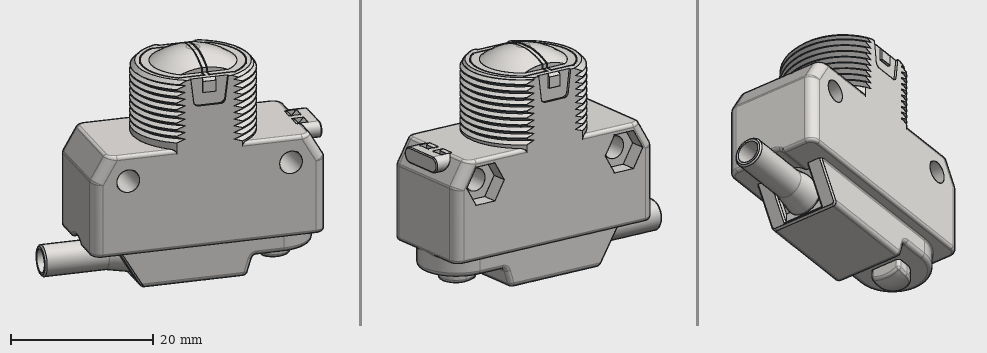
import cadquery as cq
import math


WIDTH = 15.0
HALF_WIDTH = WIDTH / 2
HALF_LENGTH = 17.25
HOUSING_TOP = 14.95
SHOULDER_Z = 11.27
SHOULDER_HALF_LENGTH = 15.07
END_FILLET = 1.5
TOP_FILLET = 0.55
SHOULDER_FILLET = 0.6
FLOOR_FILLET = 0.5

HOLE_Y = 12.05
HOLE_Z = 11.1
HOLE_DIAMETER = 3.35
NUT_FLATS = 5.65
NUT_DEPTH = 2.42

NECK_RADIUS = 8.95
NECK_TOP = 25.2
NECK_CHAMFER = 0.73
THREAD_DEPTH = 0.6
THREAD_WIDTH = 0.85
THREAD_START = 15.5
THREAD_LENGTH = 9.5
THREAD_TURNS = 9.5
THREAD_PITCH = THREAD_LENGTH / THREAD_TURNS

NOTCH_DEPTH = 0.35
NOTCH_TOP_WIDTH = 5.55
NOTCH_BOTTOM_WIDTH = 4.53
NOTCH_FLOOR = 21.17
NOTCH_FILLET = 0.75
CATCH_WIDTH = 1.9
CATCH_BOTTOM = 23.1
CATCH_TOP = 24.77

DOME_RADIUS = 6.2
DOME_HALF_WIDTH = 5.1
DOME_TOP = 27.28
DOME_CAP_RADIUS = 0.95
BUTTON_RADIUS = 7.55
BUTTON_HALF_WIDTH = 6.25
BUTTON_SPLIT = 0.45
GAP = 0.14
GAP_DEPTH = 0.6
BAR_DROP = 0.1

COVER_HALF_WIDTH = 5.58
COVER_BACK = 17.2
COVER_STEP_Z = -3.0
COVER_BOTTOM = -6.0
COVER_FILLET = 0.65
STEP_TOP_Y = 7.1
STEP_BOTTOM_Y = 6.2
STEP_FILLET = 0.73
SEAM_FILLET = 0.2
RAMP_BOTTOM_Y = -9.25
RAMP_TOP_Y = -12.9
RAMP_SLOPE = (RAMP_TOP_Y - RAMP_BOTTOM_Y) / -COVER_BOTTOM
CHANNEL_HALF_WIDTH = 3.1
CHANNEL_FLOOR_Z = -5.45
CHANNEL_BEND_Z = -4.0
CHANNEL_BACK_Y = -9.2
RAMP_EDGE_CHAMFER = 0.25

CABLE_DIAMETER = 4.55
CABLE_RADIUS = CABLE_DIAMETER / 2
CABLE_Z = -CABLE_RADIUS
CABLE_END_Y = -22.55
CABLE_CHAMFER = 0.25
CABLE_BORE_RADIUS = 1.7
SLEEVE_RADIUS = 3.0
SLEEVE_FRONT_Y = -13.15
SLEEVE_BACK_Y = -9.5
RELIEF_RADIUS = 3.1
RELIEF_FILLET = 0.5

PIN_Y = 11.75
PIN_RADIUS = 2.45
PIN_FRONT_Y = 9.85
PIN_TIP = -5.37
PIN_CROWN = 0.65
PIN_FILLET = 0.5

LATCH_HALF_WIDTH = 3.85
LATCH_FRONT_Y = 13.45
LATCH_BACK_Y = 17.85
LATCH_HEIGHT = 2.35
WINDOW_INNER_X = 0.55
WINDOW_OUTER_X = 2.63
WINDOW_FRONT_Y = 14.4
WINDOW_LOW_Y = 14.9
WINDOW_BACK_Y = 16.15
WINDOW_DEPTH = 1.4
WINDOW_LEAD_IN = 0.2
LATCH_CHAMFER = 0.15


def block(x0, x1, y0, y1, z0, z1):
    """Box between two corners."""
    return cq.Workplane("XY").box(x1 - x0, y1 - y0, z1 - z0, centered=False).translate((x0, y0, z0))


def edges_inside(half_width, y0, y1, z0, z1):
    """Selector for edges whose centre lies in a box, both sides of X = 0, with a small margin."""
    margin = 0.2
    return cq.selectors.BoxSelector(
        (-half_width - margin, y0 - margin, z0 - margin), (half_width + margin, y1 + margin, z1 + margin)
    )


def side_plate(points, half_width):
    """Outline of (Y, Z) points, extruded evenly to both sides of X = 0."""
    return cq.Workplane("YZ").polyline(points).close().extrude(half_width, both=True)


def along_y(radius, y_start, y_end, z):
    """Cylinder parallel to Y."""
    return cq.Workplane("XZ", origin=(0, y_start, z)).circle(radius).extrude(y_start - y_end)


def make_housing():
    outline = [
        (-HALF_LENGTH, 0),
        (HALF_LENGTH, 0),
        (HALF_LENGTH, SHOULDER_Z),
        (SHOULDER_HALF_LENGTH, HOUSING_TOP),
        (-SHOULDER_HALF_LENGTH, HOUSING_TOP),
        (-HALF_LENGTH, SHOULDER_Z),
    ]
    housing = side_plate(outline, HALF_WIDTH)
    shoulder = edges_inside(HALF_WIDTH, -HALF_LENGTH, HALF_LENGTH, SHOULDER_Z, SHOULDER_Z)
    housing = housing.edges("|X").edges(shoulder).fillet(SHOULDER_FILLET)
    housing = housing.faces("<X or >X").edges("not |Y").fillet(END_FILLET)
    housing = housing.faces(">Z").edges().fillet(TOP_FILLET)
    return housing.faces("<Z").edges().fillet(FLOOR_FILLET)


def make_thread_groove():
    """Right-handed V groove that cuts from outside the neck down to the thread root."""
    root = NECK_RADIUS - THREAD_DEPTH
    clearance = 0.12
    half_mouth = THREAD_WIDTH / 2 * (THREAD_DEPTH + clearance) / THREAD_DEPTH
    mouth = NECK_RADIUS + clearance
    helix = cq.Wire.makeHelix(THREAD_PITCH, THREAD_LENGTH, root)
    profile = cq.Workplane("XZ").polyline([(root, 0), (mouth, half_mouth), (mouth, -half_mouth)]).close()
    groove = profile.sweep(cq.Workplane(obj=helix), isFrenet=True)
    return groove.translate((0, 0, THREAD_START))


def make_neck():
    neck = cq.Workplane("XY").circle(NECK_RADIUS).extrude(NECK_TOP)
    neck = neck.faces(">Z").chamfer(NECK_CHAMFER)
    neck = neck.cut(make_thread_groove())
    return neck.intersect(block(-HALF_WIDTH, HALF_WIDTH, -NECK_RADIUS, NECK_RADIUS, HOUSING_TOP / 2, NECK_TOP))


def make_notch():
    """Tapered notch in the +X flat of the neck, with a sloped catch left standing in it."""
    floor_x = HALF_WIDTH - NOTCH_DEPTH
    notch = (
        cq.Workplane("YZ", origin=(floor_x, 0, 0))
        .polyline([
            (-NOTCH_BOTTOM_WIDTH / 2, NOTCH_FLOOR),
            (NOTCH_BOTTOM_WIDTH / 2, NOTCH_FLOOR),
            (NOTCH_TOP_WIDTH / 2, NECK_TOP),
            (-NOTCH_TOP_WIDTH / 2, NECK_TOP),
        ])
        .close()
        .extrude(NOTCH_DEPTH)
    )
    notch = notch.faces("<Z").edges("|X").fillet(NOTCH_FILLET)
    catch = (
        cq.Workplane("XZ")
        .polyline([
            (floor_x, CATCH_BOTTOM),
            (HALF_WIDTH, CATCH_BOTTOM),
            (HALF_WIDTH, CATCH_TOP),
            (floor_x, NECK_TOP),
        ])
        .close()
        .extrude(CATCH_WIDTH / 2, both=True)
    )
    return notch.cut(catch)


def make_dome(top):
    """Dome with a small flat cap, trimmed flat at both X sides."""
    sphere_radius = (DOME_RADIUS**2 + (top - NECK_TOP) ** 2) / (2 * (top - NECK_TOP))
    sphere_z = top - sphere_radius
    middle = DOME_RADIUS / 2
    middle_z = sphere_z + math.sqrt(sphere_radius**2 - middle**2)
    cap_z = sphere_z + math.sqrt(sphere_radius**2 - DOME_CAP_RADIUS**2)
    root_z = NECK_TOP - GAP_DEPTH
    dome = (
        cq.Workplane("XZ")
        .moveTo(0, root_z)
        .lineTo(DOME_RADIUS, root_z)
        .lineTo(DOME_RADIUS, NECK_TOP)
        .threePointArc((middle, middle_z), (DOME_CAP_RADIUS, cap_z))
        .lineTo(0, cap_z)
        .close()
        .revolve()
    )
    return dome.intersect(
        block(-DOME_HALF_WIDTH, DOME_HALF_WIDTH, -DOME_RADIUS, DOME_RADIUS, root_z, top)
    )


def button_plan(inset):
    """Both button halves, each one pulled in by the inset, tall enough to pass through the dome."""
    bottom = NECK_TOP - GAP_DEPTH
    plan = cq.Workplane("XY", origin=(0, 0, bottom)).circle(BUTTON_RADIUS - inset).extrude(DOME_TOP - bottom)
    half_width = BUTTON_HALF_WIDTH - inset
    plan = plan.intersect(
        block(-half_width, half_width, -BUTTON_RADIUS, BUTTON_RADIUS, bottom, DOME_TOP)
    )
    split = BUTTON_SPLIT - GAP + inset
    return plan.cut(block(-BUTTON_RADIUS, BUTTON_RADIUS, -split, split, bottom, DOME_TOP))


def add_button(body):
    bar_half = BUTTON_SPLIT - GAP
    slot = block(-DOME_RADIUS, DOME_RADIUS, -BUTTON_SPLIT, BUTTON_SPLIT, NECK_TOP, DOME_TOP)
    bar = make_dome(DOME_TOP - BAR_DROP).intersect(
        block(-DOME_RADIUS, DOME_RADIUS, -bar_half, bar_half, NECK_TOP - GAP_DEPTH, DOME_TOP)
    )
    body = body.union(make_dome(DOME_TOP).cut(slot)).union(bar)
    return body.cut(button_plan(0).cut(button_plan(GAP)))


def make_cover():
    ramp_end_y = RAMP_TOP_Y + RAMP_SLOPE * FLOOR_FILLET
    outline = [
        (COVER_BACK, FLOOR_FILLET),
        (COVER_BACK, COVER_STEP_Z),
        (STEP_TOP_Y, COVER_STEP_Z),
        (STEP_BOTTOM_Y, COVER_BOTTOM),
        (RAMP_BOTTOM_Y, COVER_BOTTOM),
        (ramp_end_y, FLOOR_FILLET),
    ]
    cover = side_plate(outline, COVER_HALF_WIDTH)
    step = edges_inside(COVER_HALF_WIDTH, STEP_BOTTOM_Y, STEP_TOP_Y, COVER_BOTTOM, COVER_STEP_Z)
    cover = cover.edges("|X").edges(step).fillet(STEP_FILLET)
    round_y = COVER_BACK - COVER_HALF_WIDTH
    plan = (
        cq.Workplane("XY", origin=(0, 0, COVER_BOTTOM))
        .moveTo(-COVER_HALF_WIDTH, ramp_end_y)
        .lineTo(COVER_HALF_WIDTH, ramp_end_y)
        .lineTo(COVER_HALF_WIDTH, round_y)
        .threePointArc((0, COVER_BACK), (-COVER_HALF_WIDTH, round_y))
        .close()
        .extrude(FLOOR_FILLET - COVER_BOTTOM)
    )
    cover = cover.intersect(plan)
    underside = edges_inside(COVER_HALF_WIDTH, STEP_BOTTOM_Y, COVER_BACK, COVER_BOTTOM, COVER_STEP_Z)
    bottom = edges_inside(COVER_HALF_WIDTH, RAMP_BOTTOM_Y, STEP_BOTTOM_Y, COVER_BOTTOM, COVER_BOTTOM)
    cover = cover.edges("not |X").edges("not |Z").edges(underside + bottom).fillet(COVER_FILLET)
    cover = cover.cut(make_channel_space(CHANNEL_HALF_WIDTH))
    facing_out = cq.selectors.DirectionMinMaxSelector(cq.Vector(0, -1, RAMP_SLOPE), True)
    ramp_normal = cq.selectors.ParallelDirSelector(cq.Vector(0, -1, RAMP_SLOPE))
    ramp = cover.faces(ramp_normal).faces(facing_out)
    return ramp.edges("not >Z").chamfer(RAMP_EDGE_CHAMFER)


def make_channel_space(half_width):
    """Space in front of the channel back wall, which stands upright and then leans with the ramp."""
    top = HOUSING_TOP / 2
    outline = [
        (-HALF_LENGTH, CHANNEL_FLOOR_Z),
        (CHANNEL_BACK_Y, CHANNEL_FLOOR_Z),
        (CHANNEL_BACK_Y, CHANNEL_BEND_Z),
        (CHANNEL_BACK_Y + RAMP_SLOPE * (top - CHANNEL_BEND_Z), top),
        (-HALF_LENGTH, top),
    ]
    return side_plate(outline, half_width)


def make_relief():
    """Rounded clearance in the housing floor above the cable."""
    relief = along_y(RELIEF_RADIUS, RAMP_BOTTOM_Y, -HALF_LENGTH, CABLE_Z)
    return relief.intersect(make_channel_space(HALF_WIDTH))


def make_cable():
    cable = (
        cq.Workplane("YZ", origin=(0, 0, CABLE_Z))
        .polyline([
            (RAMP_BOTTOM_Y, 0),
            (RAMP_BOTTOM_Y, SLEEVE_RADIUS),
            (SLEEVE_BACK_Y, SLEEVE_RADIUS),
            (SLEEVE_FRONT_Y, CABLE_RADIUS),
            (CABLE_END_Y + CABLE_CHAMFER, CABLE_RADIUS),
            (CABLE_END_Y, CABLE_RADIUS - CABLE_CHAMFER),
            (CABLE_END_Y, 0),
        ])
        .close()
        .revolve(360, (0, 0, 0), (1, 0, 0))
    )
    bore = along_y(CABLE_BORE_RADIUS, CHANNEL_BACK_Y, CABLE_END_Y, CABLE_Z)
    return cable.cut(bore)


def make_pin():
    pin = (
        cq.Workplane("XY", origin=(0, 0, PIN_TIP))
        .moveTo(-PIN_RADIUS, PIN_Y)
        .threePointArc((0, PIN_Y + PIN_RADIUS), (PIN_RADIUS, PIN_Y))
        .lineTo(PIN_RADIUS, PIN_FRONT_Y)
        .lineTo(-PIN_RADIUS, PIN_FRONT_Y)
        .close()
        .extrude(-PIN_TIP)
    )
    pin = pin.edges("|Z and <Y").fillet(PIN_FILLET)
    crown_radius = (PIN_RADIUS**2 + PIN_CROWN**2) / (2 * PIN_CROWN)
    crown = cq.Workplane("XY").sphere(crown_radius).translate((0, PIN_Y, PIN_TIP + crown_radius))
    return pin.intersect(crown).faces("<Z").edges().fillet(PIN_FILLET)


def make_latch():
    """Rounded bar flush with the housing top that reaches past its back end."""
    length = LATCH_BACK_Y - LATCH_FRONT_Y
    middle_z = HOUSING_TOP - LATCH_HEIGHT / 2
    return (
        cq.Workplane("XZ", origin=(0, LATCH_BACK_Y, middle_z))
        .slot2D(2 * LATCH_HALF_WIDTH, LATCH_HEIGHT)
        .extrude(length)
        .faces(">Y")
        .chamfer(LATCH_CHAMFER)
    )


def make_window():
    """Wedge shaped window in the latch, on the +X side."""
    return (
        cq.Workplane("YZ", origin=(WINDOW_INNER_X, 0, 0))
        .polyline([
            (WINDOW_BACK_Y, HOUSING_TOP),
            (WINDOW_LOW_Y, HOUSING_TOP - WINDOW_DEPTH),
            (WINDOW_LOW_Y, HOUSING_TOP - WINDOW_LEAD_IN),
            (WINDOW_FRONT_Y, HOUSING_TOP),
        ])
        .close()
        .extrude(WINDOW_OUTER_X - WINDOW_INNER_X)
    )


def make_mounting_hole(y):
    """Through hole with a hexagonal nut pocket on the -X side."""
    nut_corners = NUT_FLATS / math.cos(math.pi / 6)
    start = cq.Workplane("YZ", origin=(-HALF_WIDTH, y, HOLE_Z))
    hole = start.circle(HOLE_DIAMETER / 2).extrude(WIDTH)
    return hole.union(start.polygon(6, nut_corners).extrude(NUT_DEPTH))


def fillet_cover_seam(body):
    """Small inside fillet along the straight sides where the cover meets the housing floor."""
    seam = edges_inside(COVER_HALF_WIDTH, -SLEEVE_RADIUS, SLEEVE_RADIUS, 0, 0)
    return body.edges(seam).fillet(SEAM_FILLET)


body = make_housing().cut(make_relief())
body = body.faces("<Y").edges("%CIRCLE").fillet(RELIEF_FILLET)
body = add_button(body.union(make_neck()))
body = body.union(make_latch())
for cut in (make_notch(), make_window()):
    body = body.cut(cut).cut(cut.mirror("YZ"))
for hole_y in (-HOLE_Y, HOLE_Y):
    body = body.cut(make_mounting_hole(hole_y))
body = body.union(make_cable())
body = body.union(make_cover()).union(make_pin())
body = fillet_cover_seam(body)

result = body